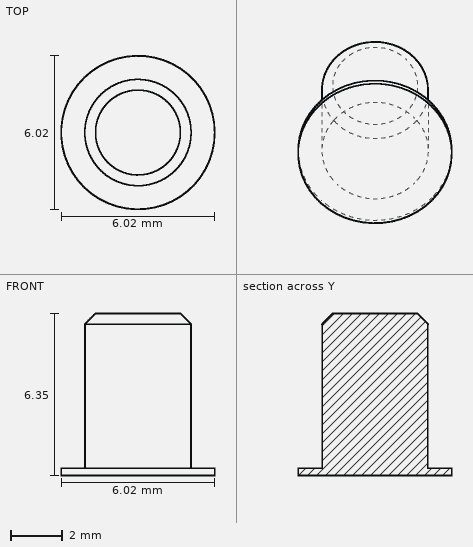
import cadquery as cq

total_height = 6.35
flange_diameter = 6.02
flange_thickness = 0.3
pin_diameter = 4.165
tip_chamfer = 0.42

flange = cq.Workplane("XY").circle(flange_diameter / 2).extrude(flange_thickness)

pin = (
    cq.Workplane("XY")
    .circle(pin_diameter / 2)
    .extrude(total_height)
    .faces(">Z")
    .chamfer(tip_chamfer)
)

result = flange.union(pin)